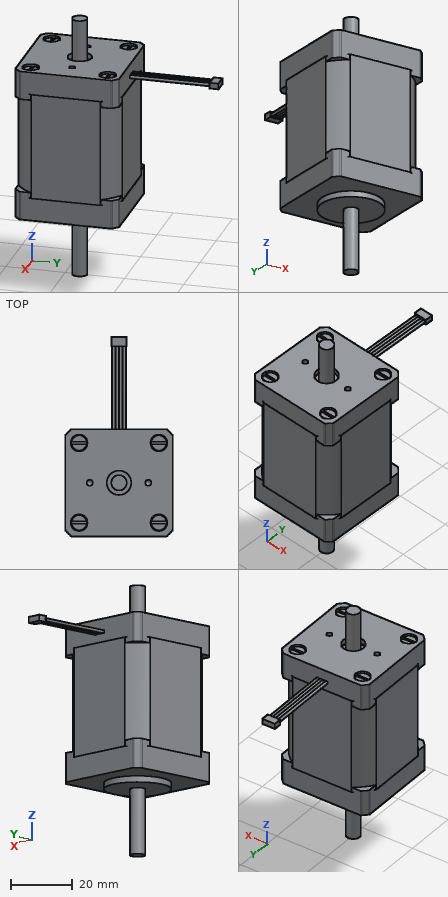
import cadquery as cq
import math

body_width = 35.0
body_height = 51.9
corner_chamfer = 2.0
corner_fillet = 0.5

cap_edge_depth = 7.8
cap_corner_depth = 9.8
stator_diameter = 42.1
socket_diameter = 42.2
pilot_diameter = 22.0
pilot_height = 2.1

shaft_opening_diameter = 8.0
cap_roof = 2.0
cavity_diameter = 15.0
bearing_drop = 5.4
tapped_hole_diameter = 2.0
tapped_hole_depth = 4.0
tapped_hole_spacing = 19.1
drill_tip_angle = 118

shaft_diameter = 5.0
shaft_top_length = 13.5
shaft_bottom_length = 22.0

screw_spacing = 25.95
screw_head_diameter = 5.0
screw_head_height = 2.0
screw_slot_width = 0.8
screw_slot_depth = 0.5
counterbore_diameter = 5.5
screw_recess = 0.6

wire_count = 4
wire_diameter = 1.1
wire_pitch = 1.2
wire_drop = 4.5
lead_length = 30.0
connector_width = 5.0
connector_length = 3.0
connector_height = 2.1

stator_bottom = cap_edge_depth
stator_top = body_height - cap_edge_depth
shaft_bottom = -pilot_height - shaft_bottom_length
shaft_top = body_height + shaft_top_length
counterbore_depth = screw_recess + screw_head_height


def cylinder(diameter, bottom, top):
    return cq.Workplane("XY").workplane(offset=bottom).circle(diameter / 2).extrude(top - bottom)


def square_block(bottom, top):
    return cq.Workplane("XY").workplane(offset=bottom).rect(body_width, body_width).extrude(top - bottom)


def make_shaft():
    return cylinder(shaft_diameter, shaft_bottom, shaft_top)


def make_stator():
    rounded = square_block(stator_bottom, stator_top).intersect(
        cylinder(stator_diameter, stator_bottom, stator_top)
    )
    return rounded.cut(make_shaft())


def cap_blank(bottom, top):
    block = square_block(bottom, top)
    chamfered = block.edges("|Z").chamfer(corner_chamfer)
    rounded = chamfered.edges("|Z").fillet(corner_fillet)
    return rounded.cut(cylinder(socket_diameter, stator_bottom, stator_top))


def make_bearing():
    return cylinder(cavity_diameter, stator_top, body_height - bearing_drop).cut(make_shaft())


def make_lower_cap():
    pilot = cylinder(pilot_diameter, -pilot_height, 0)
    return cap_blank(0, cap_corner_depth).union(pilot).cut(make_shaft())


def screw_points(workplane):
    return workplane.rect(screw_spacing, screw_spacing, forConstruction=True).vertices()


def tapped_hole():
    radius = tapped_hole_diameter / 2
    tip_height = radius / math.tan(math.radians(drill_tip_angle / 2))
    return (
        cq.Workplane("XZ")
        .polyline([(0, 0), (radius, 0), (radius, -tapped_hole_depth), (0, -tapped_hole_depth - tip_height)])
        .close()
        .revolve(360, (0, 0, 0), (0, 1, 0))
    )


def make_upper_cap():
    cap = cap_blank(body_height - cap_corner_depth, body_height)
    cap = cap.cut(cylinder(shaft_opening_diameter, stator_top, body_height))
    cap = cap.cut(cylinder(cavity_diameter, stator_top, body_height - cap_roof))
    top_plane = cq.Workplane("XY").workplane(offset=body_height)
    counterbores = screw_points(top_plane).circle(counterbore_diameter / 2).extrude(-counterbore_depth)
    cap = cap.cut(counterbores)
    for side in (-1, 1):
        cap = cap.cut(tapped_hole().translate((side * tapped_hole_spacing / 2, 0, body_height)))
    return cap


def make_screw(x, y):
    head_top = body_height - screw_recess
    head = cylinder(screw_head_diameter, body_height - counterbore_depth, head_top)
    slot = (
        cq.Workplane("XY")
        .workplane(offset=head_top)
        .rect(screw_head_diameter, screw_slot_width)
        .extrude(-screw_slot_depth)
    )
    return head.cut(slot).translate((x, y, 0))


def make_lead():
    wall = body_width / 2
    wire_length = lead_length - connector_length
    axis_height = body_height - wire_drop
    connector_center = (0, wall + wire_length + connector_length / 2, axis_height)
    connector = cq.Workplane("XY", origin=connector_center)
    lead = connector.box(connector_width, connector_length, connector_height)
    for index in range(wire_count):
        x = (index - (wire_count - 1) / 2) * wire_pitch
        wire = cq.Workplane("XZ", origin=(x, wall, axis_height)).circle(wire_diameter / 2).extrude(-wire_length)
        lead = lead.union(wire)
    return lead


screw_offset = screw_spacing / 2
screws = [make_screw(x, y) for x in (-screw_offset, screw_offset) for y in (-screw_offset, screw_offset)]

result = cq.Compound.makeCompound(
    [
        make_lower_cap().val(),
        make_stator().val(),
        make_upper_cap().val(),
        make_bearing().val(),
        make_shaft().val(),
        make_lead().val(),
        *[screw.val() for screw in screws],
    ]
)